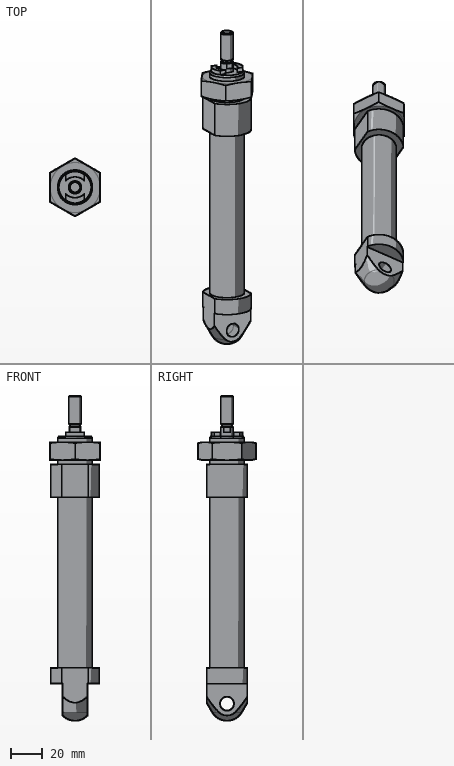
import cadquery as cq
import math

total_length = 206
cap_bottom = 23.7
cap_top = 33.5
head_bottom = 141.5
head_top = 162.5
nut_bottom = 165.2
nut_top = 176.5
collar_top = 180.2
tab_top = 183.0

barrel_diameter = 22.0
block_diameter = 31
block_flats = 26.0
collar_tip_diameter = 20.4
collar_chamfer_height = 1.2

tab_width = 12.0
tab_outer_diameter = 20.0
tab_corner_reach = 4.1
tab_arc_reach = 6.5

lug_thickness = 15.9
lug_end_radius = 11.0
pivot_height = lug_end_radius
pivot_diameter = 8.7
lug_cone_angle = math.radians(30)

rod_diameter = 8.0
rod_chamfer = 0.8
neck_diameter = 6.5
neck_flare = 0.5
neck_bottom = 186.0
neck_top = 188.0
wrench_flats = 7.0
wrench_bottom = 182.7
rod_bottom = head_bottom

nut_across_flats = 32.0
nut_face_diameter = 31.7
nut_chamfer_height = 0.6


def cylinder(diameter, bottom, top):
    return cq.Workplane("XY").workplane(offset=bottom).circle(diameter / 2).extrude(top - bottom)


def box(size_x, size_y, bottom, top):
    return cq.Workplane("XY").workplane(offset=bottom).rect(size_x, size_y).extrude(top - bottom)


def flatted_block(bottom, top):
    """Round block with two parallel flats facing -Y and +Y."""
    return cylinder(block_diameter, bottom, top).intersect(
        box(block_diameter, block_flats, bottom, top))


def make_lug():
    """Flat-sided lug whose lower end is turned to a cone and a spherical tip."""
    tangent_radius = lug_end_radius * math.cos(lug_cone_angle)
    tangent_height = pivot_height - lug_end_radius * math.sin(lug_cone_angle)
    arc_middle_angle = (math.pi / 2 + lug_cone_angle) / 2
    arc_middle = (
        lug_end_radius * math.cos(arc_middle_angle),
        pivot_height - lug_end_radius * math.sin(arc_middle_angle),
    )
    block_radius = block_diameter / 2
    cone_top = tangent_height + (block_radius - tangent_radius) / math.tan(lug_cone_angle)
    turned_end = (
        cq.Workplane("XZ")
        .moveTo(0, 0)
        .threePointArc(arc_middle, (tangent_radius, tangent_height))
        .lineTo(block_radius, cone_top)
        .lineTo(block_radius, cap_bottom)
        .lineTo(0, cap_bottom)
        .close()
        .revolve(360, (0, 0, 0), (0, 1, 0))
    )
    pivot_hole = (
        cq.Workplane("YZ")
        .center(0, pivot_height)
        .circle(pivot_diameter / 2)
        .extrude(lug_thickness, both=True)
    )
    return turned_end.intersect(box(lug_thickness, block_flats, 0, cap_bottom)).cut(pivot_hole)


def make_collar():
    """Threaded collar with a conical edge at its top."""
    cone_bottom = collar_top - collar_chamfer_height
    return (
        cq.Workplane("XZ")
        .polyline([
            (0, head_top),
            (barrel_diameter / 2, head_top),
            (barrel_diameter / 2, cone_bottom),
            (collar_tip_diameter / 2, collar_top),
            (0, collar_top),
        ])
        .close()
        .revolve(360, (0, 0, 0), (0, 1, 0))
    )


def make_tabs():
    """Two raised tabs at -Y and +Y, each with an arched inner edge and a round outer edge."""
    half_width = tab_width / 2
    outer_radius = tab_outer_diameter / 2
    outline = cylinder(tab_outer_diameter, collar_top, tab_top)
    tab = (
        cq.Workplane("XY")
        .workplane(offset=collar_top)
        .moveTo(-half_width, tab_corner_reach)
        .threePointArc((0, tab_arc_reach), (half_width, tab_corner_reach))
        .lineTo(half_width, outer_radius)
        .lineTo(-half_width, outer_radius)
        .close()
        .extrude(tab_top - collar_top)
        .intersect(outline)
    )
    return tab.union(tab.rotate((0, 0, 0), (0, 0, 1), 180))


def make_housing():
    rod_bore = cylinder(rod_diameter, rod_bottom, collar_top)
    return (
        make_lug()
        .union(flatted_block(cap_bottom, cap_top))
        .union(cylinder(barrel_diameter, cap_top, head_bottom))
        .union(flatted_block(head_bottom, head_top))
        .union(make_collar())
        .union(make_tabs())
        .cut(rod_bore)
    )


def make_neck():
    """Undercut below the threaded end, flaring at both ends."""
    neck_radius = neck_diameter / 2
    flare_radius = neck_radius + neck_flare
    return (
        cq.Workplane("XZ")
        .polyline([
            (0, neck_bottom),
            (flare_radius, neck_bottom),
            (neck_radius, neck_bottom + neck_flare),
            (neck_radius, neck_top - neck_flare),
            (flare_radius, neck_top),
            (0, neck_top),
        ])
        .close()
        .revolve(360, (0, 0, 0), (0, 1, 0))
    )


def make_piston_rod():
    shank = cylinder(rod_diameter, rod_bottom, neck_bottom)
    wrench_cut = box(rod_diameter, rod_diameter, wrench_bottom, neck_bottom).cut(
        box(wrench_flats, rod_diameter, wrench_bottom, neck_bottom))
    threaded_end = cylinder(rod_diameter, neck_top, total_length).faces(">Z").chamfer(rod_chamfer)
    return (
        shank.cut(wrench_cut)
        .union(make_neck())
        .union(threaded_end)
    )


def make_nut():
    """Hexagonal nut with corners on the Y axis and both faces turned conical."""
    across_corners = nut_across_flats / math.cos(math.pi / 6)
    hexagon = (
        cq.Workplane("XY")
        .workplane(offset=nut_bottom)
        .transformed(rotate=(0, 0, 90))
        .polygon(6, across_corners)
        .extrude(nut_top - nut_bottom)
    )
    corner_chamfer = (across_corners - nut_face_diameter) / 2
    turned_blank = (
        cylinder(across_corners, nut_bottom, nut_top)
        .faces("<Z or >Z")
        .chamfer(nut_chamfer_height, corner_chamfer)
    )
    return hexagon.intersect(turned_blank).cut(cylinder(barrel_diameter, nut_bottom, nut_top))


housing = make_housing()
piston_rod = make_piston_rod()
nut = make_nut()

result = cq.Compound.makeCompound([housing.val(), piston_rod.val(), nut.val()])